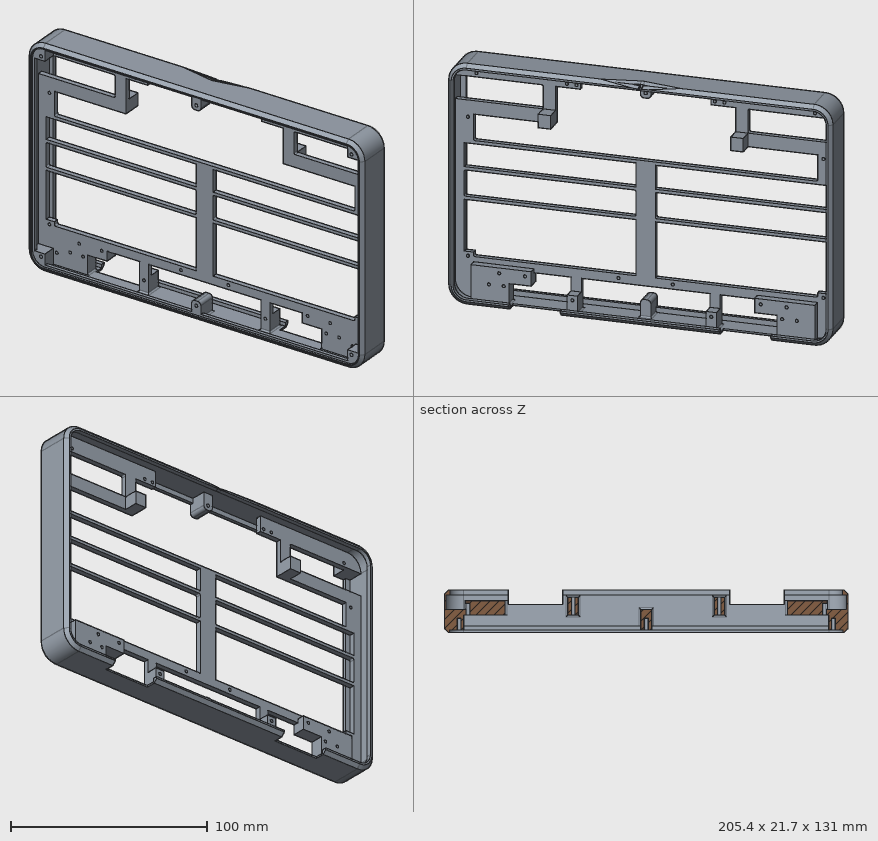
import cadquery as cq
WIDTH = 205.4
DEPTH = 21.71
HEIGHT = 131.02
CORNER_RADIUS = 10.0
EDGE_CHAMFER = 2.0
FRONT = -DEPTH / 2
BACK = DEPTH / 2
TOP = HEIGHT / 2

WALL = 1.0
RIM = 2.6
FRONT_LIP = 3.8
BACK_LIP = 3.0
SEAT_DEPTH = 1.3
FRONT_LIP_THICKNESS = 2.0
BACK_LIP_THICKNESS = 2.6
SEAT = FRONT + SEAT_DEPTH
CAVITY_FRONT = SEAT + FRONT_LIP_THICKNESS
CAVITY_BACK = BACK - BACK_LIP_THICKNESS
CAVITY_X = WIDTH / 2 - WALL
CAVITY_Z = TOP - WALL
EMBED = WALL / 2

PLATE_FRONT = FRONT + 8.9
PLATE_THICKNESS = 3.0
PLATE_BACK = PLATE_FRONT + PLATE_THICKNESS
PLATE_FILLET = 0.8
STRIP_BOTTOM = 55.4
STRIP_END = -34.9
LEG_LEFT = -54.8
LEG_RIGHT = -48.1
ARM_TOP = 42.4
ARM_BOTTOM = 35.0
SIDE_EDGE = -91.9
BAR_TOP = 20.7
BAR_HEIGHT = 1.8
WINDOW_LEFT = -97.0
WINDOW_RIGHT = -5.2
UPPER_WINDOW_BOTTOM = 5.9
MIDDLE_WINDOW_BOTTOM = -10.1
LOWER_WINDOW_STEP = -40.0
LOWER_WINDOW_BOTTOM = -42.4
BAND_BOTTOM = -47.4
POST_LEFT = -39.9
POST_RIGHT = -34.4
STEP_X = -59.7
STEP_Z = -53.1
CORNER_PLATE_RIGHT = -71.6

ARM_PAD_BACK = 9.0
CORNER_PAD_BACK = 5.5
CORNER_PAD_TOP = -45.2
POST_BACK = 7.2
POST_TOP = -54.8
FOOT_FILLET = 0.8

CORNER_BOSS_X = -92.6
CORNER_BOSS_Z = STRIP_BOTTOM
TAB_WIDTH = 5.6
TAB_END_Z = 54.8
TAB_FILLET = 2.0

PORT_LEFT = -70.0
PORT_RIGHT = -42.5
PORT_FRONT = 3.5

NOTCH_HALF_LENGTH = 21.5
NOTCH_REACH = 5.9
NOTCH_DROP = 2.26
NOTCH_FLAT = 1.8
NOTCH_SLOT_REACH = 3.4
NOTCH_SLOT_DROP = 2.5

PLATE_HOLE_DIAMETER = 1.6
BOSS_HOLE_DIAMETER = 1.8
BLIND_DEPTH = 6.0
BOSS_HOLE_X = -95.0
BOSS_HOLE_Z = 57.6
BLIND_PLATE_HOLE = (-90.5, -57.4)
PLATE_HOLES = [
    (-90.5, 57.5),
    (-42.1, 57.5),
    (-37.0, 57.5),
    (-95.0, 33.2),
    (-95.0, -42.4),
    (-76.8, -48.1),
    (-63.0, -48.1),
    (-82.3, -54.8),
    (-74.4, -54.8),
    (-37.1, -57.4),
    (-14.5, -44.8),
]


def box(x0, x1, y0, y1, z0, z1):
    """Axis-aligned block between two opposite corners."""
    return cq.Workplane("XY").box(x1 - x0, y1 - y0, z1 - z0, centered=False).translate((x0, y0, z0))


def rounded_block(inset, y0, y1):
    """Block that follows the outside outline at a constant inset."""
    half_x = WIDTH / 2 - inset
    half_z = TOP - inset
    return box(-half_x, half_x, y0, y1, -half_z, half_z).edges("|Y").fillet(CORNER_RADIUS - inset)


def mirrored(half):
    """A left-hand shape together with its right-hand copy."""
    return half.union(half.mirror("YZ"))


def hole(x, z, diameter, y0, y1):
    """Round cutter along Y."""
    return cq.Workplane("XZ", origin=(x, y0, z)).circle(diameter / 2).extrude(y0 - y1)


def surround():
    """Outer frame: chamfered outside, front seat, and a cavity between a front and a back lip."""
    frame = rounded_block(0, FRONT, BACK).faces("<Y or >Y").chamfer(EDGE_CHAMFER)
    frame = frame.cut(rounded_block(RIM, FRONT, SEAT))
    frame = frame.cut(rounded_block(FRONT_LIP, SEAT, CAVITY_FRONT))
    frame = frame.cut(rounded_block(WALL, CAVITY_FRONT, CAVITY_BACK))
    return frame.cut(rounded_block(BACK_LIP, CAVITY_BACK, BACK))


def window(x0, x1, z0, z1, rounded_edges=None):
    """Cutter through the plate, with fillets on the selected corners."""
    cutter = box(x0, x1, PLATE_FRONT, PLATE_BACK, z0, z1)
    if rounded_edges:
        cutter = cutter.edges("|Y").edges(rounded_edges).fillet(PLATE_FILLET)
    return cutter


def plate():
    """Mounting plate with its windows, joined to the outer wall."""
    upper_top = BAR_TOP - BAR_HEIGHT
    middle_top = UPPER_WINDOW_BOTTOM - BAR_HEIGHT
    lower_top = MIDDLE_WINDOW_BOTTOM - BAR_HEIGHT
    cutters = [
        window(-CAVITY_X, LEG_LEFT, ARM_TOP, STRIP_BOTTOM, ">X"),
        window(SIDE_EDGE, 0, BAR_TOP, ARM_BOTTOM, "<X and <Z"),
        window(LEG_RIGHT, 0, BAR_TOP, STRIP_BOTTOM),
        window(STRIP_END, 0, BAR_TOP, CAVITY_Z),
        window(WINDOW_LEFT, WINDOW_RIGHT, UPPER_WINDOW_BOTTOM, upper_top),
        window(WINDOW_LEFT, WINDOW_RIGHT, MIDDLE_WINDOW_BOTTOM, middle_top, "|Y"),
        window(WINDOW_LEFT, WINDOW_RIGHT, LOWER_WINDOW_STEP, lower_top),
        window(SIDE_EDGE, WINDOW_RIGHT, LOWER_WINDOW_BOTTOM, lower_top, "<X and <Z"),
        window(POST_RIGHT, 0, -CAVITY_Z, BAND_BOTTOM),
        window(STEP_X, POST_LEFT, -CAVITY_Z, BAND_BOTTOM),
        window(CORNER_PLATE_RIGHT, POST_LEFT, -CAVITY_Z, STEP_Z),
    ]
    body = rounded_block(EMBED, PLATE_FRONT, PLATE_BACK)
    for cutter in cutters:
        body = body.cut(mirrored(cutter))
    return body


def pads():
    """Thickened areas behind the arms, the lower corners and the bottom posts."""
    floor = EMBED - TOP
    arm = box(LEG_LEFT, LEG_RIGHT, PLATE_BACK, ARM_PAD_BACK, ARM_BOTTOM, ARM_TOP)
    corner = box(SIDE_EDGE, CORNER_PLATE_RIGHT, PLATE_BACK, CORNER_PAD_BACK, floor, CORNER_PAD_TOP)
    ledge = box(CORNER_PLATE_RIGHT, STEP_X, PLATE_BACK, CORNER_PAD_BACK, STEP_Z, CORNER_PAD_TOP)
    post = box(POST_LEFT, POST_RIGHT, PLATE_BACK, POST_BACK, floor, POST_TOP)
    return mirrored(arm.union(corner).union(ledge).union(post))


def bosses():
    """Corner bosses and centre tabs, flush with the front seat, at the top and the bottom."""
    wall = EMBED - WIDTH / 2
    corner = box(wall, CORNER_BOSS_X, SEAT, PLATE_FRONT, CORNER_BOSS_Z, TOP - EMBED)
    tab = box(-TAB_WIDTH / 2, TAB_WIDTH / 2, SEAT, PLATE_BACK, TAB_END_Z, TOP - EMBED)
    tab = tab.edges("|Y and <Z").fillet(TAB_FILLET)
    upper = mirrored(corner).union(tab)
    behind_seat = rounded_block(RIM, SEAT, CAVITY_FRONT)
    inside_wall = rounded_block(EMBED, CAVITY_FRONT, PLATE_BACK)
    return upper.union(upper.mirror("XY")).intersect(behind_seat.union(inside_wall))


def base_fillets(body):
    """Round the feet of the posts, tabs and corner plates where they meet the bottom wall."""
    margin = 0.1
    feet = [
        (CORNER_PLATE_RIGHT, CORNER_PLATE_RIGHT, PLATE_FRONT, CORNER_PAD_BACK),
        (POST_LEFT, POST_RIGHT, PLATE_FRONT, POST_BACK),
        (-TAB_WIDTH / 2, TAB_WIDTH / 2, CAVITY_FRONT, PLATE_BACK),
        (-POST_RIGHT, -POST_LEFT, PLATE_FRONT, POST_BACK),
        (-CORNER_PLATE_RIGHT, -CORNER_PLATE_RIGHT, PLATE_FRONT, CORNER_PAD_BACK),
    ]
    for x0, x1, y0, y1 in feet:
        low = (x0 - margin, y0 - margin, -CAVITY_Z - margin)
        high = (x1 + margin, y1 + margin, -CAVITY_Z + margin)
        body = body.edges(cq.selectors.BoxSelector(low, high)).fillet(FOOT_FILLET)
    return body


def ports():
    """Cutters for the two openings in the bottom wall and back lip."""
    return mirrored(box(PORT_LEFT, PORT_RIGHT, PORT_FRONT, BACK, -TOP, POST_TOP))


def thumb_notch():
    """Wedge that deepens towards the middle of the top back edge, with a short slot."""
    slope = NOTCH_REACH / NOTCH_DROP
    above = 1.0
    below = 2 * NOTCH_DROP
    front_y = BACK - NOTCH_REACH - slope * above
    back_y = BACK - NOTCH_REACH + slope * below
    section = [(front_y, TOP + above), (back_y, TOP + above), (back_y, TOP - below)]
    run = NOTCH_HALF_LENGTH - NOTCH_FLAT / 2
    taper = cq.Vector(-run, NOTCH_REACH - EDGE_CHAMFER, 0)
    outline = cq.Workplane("YZ", origin=(-NOTCH_FLAT / 2, 0, 0)).polyline(section).close()
    wedge = cq.Workplane(cq.Solid.extrudeLinear(outline.val(), [], taper))
    flat = outline.extrude(NOTCH_FLAT)
    slot = box(-NOTCH_FLAT / 2, NOTCH_FLAT / 2, BACK - NOTCH_SLOT_REACH, BACK, TOP - NOTCH_SLOT_DROP, TOP)
    return mirrored(wedge).union(flat).union(slot)


def holes():
    """Through holes in the plate and mostly blind holes in the bosses."""
    blind_x, blind_z = BLIND_PLATE_HOLE
    boss_end = SEAT + BLIND_DEPTH
    left = hole(blind_x, blind_z, PLATE_HOLE_DIAMETER, PLATE_FRONT, PLATE_FRONT + BLIND_DEPTH)
    for x, z in PLATE_HOLES:
        left = left.union(hole(x, z, PLATE_HOLE_DIAMETER, PLATE_FRONT, BACK))
    for z in (BOSS_HOLE_Z, -BOSS_HOLE_Z):
        left = left.union(hole(BOSS_HOLE_X, z, BOSS_HOLE_DIAMETER, SEAT, boss_end))
    top_tab = hole(0, BOSS_HOLE_Z, BOSS_HOLE_DIAMETER, SEAT, PLATE_BACK)
    bottom_tab = hole(0, -BOSS_HOLE_Z, BOSS_HOLE_DIAMETER, SEAT, boss_end)
    return mirrored(left).union(top_tab).union(bottom_tab)


body = surround().union(plate()).union(bosses()).union(pads())
body = base_fillets(body).cut(ports())
result = body.cut(thumb_notch()).cut(holes())